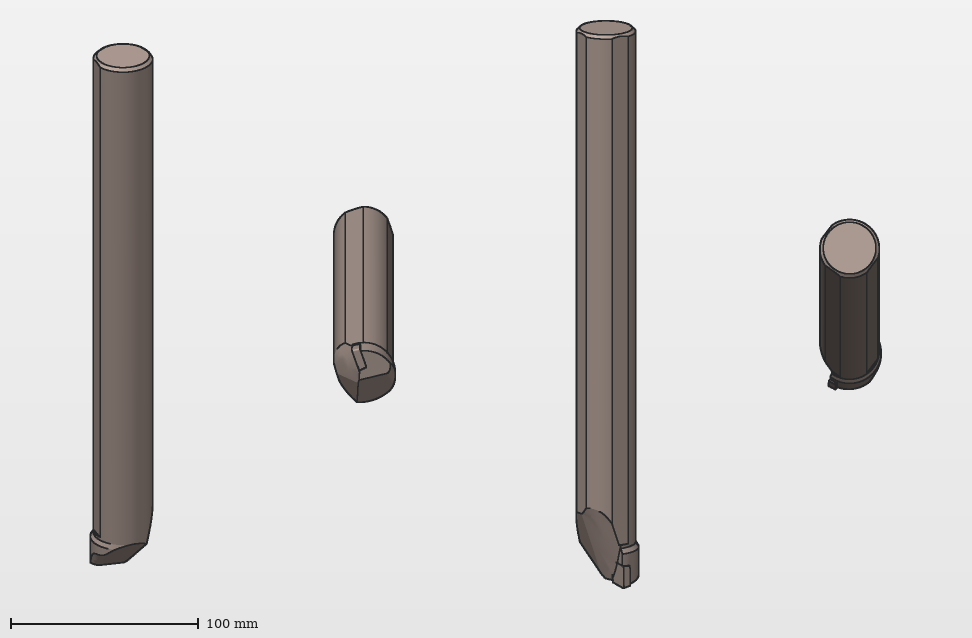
import cadquery as cq
import math


LENGTH = 306.0
SHANK_RADIUS = 16.0
FLAT_DEPTH = 0.8
FLAT_DISTANCE = SHANK_RADIUS - FLAT_DEPTH
FLATS_BOTTOM = 23.3
COLLAR_BOTTOM = 21.5
END_BEVEL_RADIAL = 1.8
END_BEVEL_HEIGHT = 1.8

HEAD_RADIUS = 16.8
HEAD_X = -0.5
HEAD_Y = -0.5
CONE_BOTTOM = 18.7
END_FACE_Z = 2.0
END_FACE_SLOPE_X = math.tan(math.radians(5))
END_FACE_SLOPE_Y = -0.12
RELIEF_Z = 4.0
RELIEF_SLOPE = 1.1
RELIEF_SIDE_Y = -17.8
RELIEF_ROUND_WIDTH = 4.5
RELIEF_ROUND_HEIGHT = 13.0

FLUTE_SLOPE = 0.35
FLUTE_LEVEL = 1.5
FLUTE_BEND_X = 0.0
FLUTE_ARC_MIDDLE = (-8.5, -1.8)
FLUTE_ARC_END = (-18.0, -11.5)
FLUTE_TOP = 61.2
CUTTER_SIZE = 91.8

TIP_X = -19.3
TIP_Z = -0.05
INSERT_EDGE = 12.2
LEAD_ANGLE = 3.0
INSERT_THICKNESS = 4.3
CLEARANCE_ANGLE = 7.0
NOSE_RADIUS = 1.0


def make_end_face_cutter():
    """Block below the tilted plane that ends the head."""
    plane = cq.Plane(
        origin=(0, 0, END_FACE_Z),
        xDir=(1, 0, END_FACE_SLOPE_X),
        normal=(-END_FACE_SLOPE_X, -END_FACE_SLOPE_Y, 1),
    )
    return cq.Workplane(plane).rect(CUTTER_SIZE, CUTTER_SIZE).extrude(-CUTTER_SIZE)


def make_relief_cutter():
    """Block whose top rises along X and curves up towards -Y, so it rounds the heel of the head."""
    half = CUTTER_SIZE / 2
    rim_z = RELIEF_Z + RELIEF_ROUND_HEIGHT
    profile = (
        cq.Workplane("YZ", origin=(-half, 0, -half * RELIEF_SLOPE))
        .moveTo(RELIEF_SIDE_Y, rim_z)
        .ellipseArc(RELIEF_ROUND_WIDTH, RELIEF_ROUND_HEIGHT, 180, 270, startAtCurrent=True)
        .lineTo(half, RELIEF_Z).lineTo(half, -half)
        .lineTo(-half, -half).lineTo(-half, rim_z).close()
    )
    sweep = cq.Vector(CUTTER_SIZE, 0, CUTTER_SIZE * RELIEF_SLOPE)
    return cq.Workplane(cq.Solid.extrudeLinear(profile.val(), [], sweep))


def make_shank():
    shank = cq.Workplane("XZ").polyline([
        (0, COLLAR_BOTTOM),
        (SHANK_RADIUS, COLLAR_BOTTOM),
        (SHANK_RADIUS, LENGTH - END_BEVEL_HEIGHT),
        (SHANK_RADIUS - END_BEVEL_RADIAL, LENGTH),
        (0, LENGTH),
    ]).close().revolve(360, (0, 0), (0, 1))
    flat_cutter = (
        cq.Workplane("XY").workplane(offset=FLATS_BOTTOM)
        .center(FLAT_DISTANCE + FLAT_DEPTH, 0)
        .rect(2 * FLAT_DEPTH, 2 * SHANK_RADIUS).extrude(LENGTH)
    )
    for angle in (90, 180, 270):
        shank = shank.cut(flat_cutter.rotate((0, 0, 0), (0, 0, 1), angle))
    return shank


def make_head():
    cone = (
        cq.Workplane("XY").workplane(offset=CONE_BOTTOM)
        .center(HEAD_X, HEAD_Y).circle(HEAD_RADIUS)
        .workplane(offset=COLLAR_BOTTOM - CONE_BOTTOM)
        .center(-HEAD_X, -HEAD_Y).circle(SHANK_RADIUS).loft()
    )
    head = cq.Workplane("XY").center(HEAD_X, HEAD_Y).circle(HEAD_RADIUS).extrude(CONE_BOTTOM)
    return head.union(cone)


def make_flute_cutter():
    """Rounded flute swept along a sloping line, kept above the insert rake plane Y = 0."""
    half = CUTTER_SIZE / 2
    profile = (
        cq.Workplane("XY").moveTo(*FLUTE_ARC_END)
        .threePointArc(FLUTE_ARC_MIDDLE, (FLUTE_BEND_X, FLUTE_LEVEL))
        .lineTo(half, FLUTE_LEVEL).lineTo(half, half)
        .lineTo(-half, half).lineTo(-half, FLUTE_ARC_END[1]).close()
    )
    sweep = cq.Vector(0, FLUTE_SLOPE * FLUTE_TOP, FLUTE_TOP)
    flute = cq.Solid.extrudeLinear(profile.val(), [], sweep)
    rake_side = cq.Workplane("XY").box(CUTTER_SIZE, half, CUTTER_SIZE, centered=(True, False, False))
    return rake_side.intersect(cq.Workplane(flute))


def make_insert():
    """Rhombic insert with its rake face on Y = 0 and sides tapering towards -Y."""
    along = INSERT_EDGE * math.cos(math.radians(LEAD_ANGLE))
    across = INSERT_EDGE * math.sin(math.radians(LEAD_ANGLE))
    outline = (
        cq.Workplane("XZ").moveTo(TIP_X, TIP_Z)
        .lineTo(TIP_X + along, TIP_Z + across)
        .lineTo(TIP_X + along + across, TIP_Z + along + across)
        .lineTo(TIP_X + across, TIP_Z + along).close()
    )
    insert = outline.extrude(INSERT_THICKNESS, taper=CLEARANCE_ANGLE)
    tip_edge = cq.selectors.NearestToPointSelector((TIP_X, -INSERT_THICKNESS / 2, TIP_Z))
    return insert.edges(tip_edge).fillet(NOSE_RADIUS)


insert = make_insert()

bar = make_shank().union(make_head())
for cutter in (make_end_face_cutter(), make_relief_cutter(), make_flute_cutter(), insert):
    bar = bar.cut(cutter)

result = cq.Compound.makeCompound([bar.val(), insert.val()])